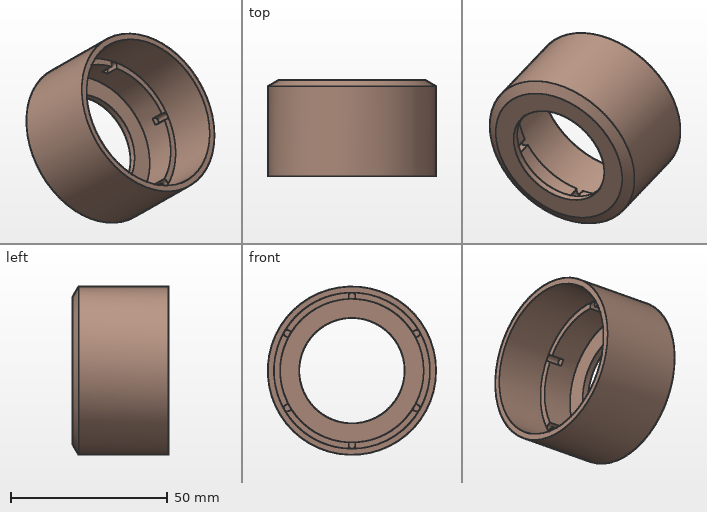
import cadquery as cq
import math

outer_radius = 27.0
height = 30.9
mouth_radius = 25.0
mouth_depth = 17.7
pocket_radius = 23.0
floor_thickness = 2.25
hole_radius = 16.85

bevel_height = 2.0
bevel_angle = 30
bevel_width = bevel_height / math.tan(math.radians(bevel_angle))

notch_count = 6
notch_width = 2.15
notch_depth = 4.8
notch_radius = notch_width / 2


def make_body():
    """Revolve the wall section (radius, Y) about the Y axis."""
    floor_y = height - floor_thickness
    section = (
        cq.Workplane("XY")
        .moveTo(mouth_radius, 0)
        .lineTo(outer_radius, 0)
        .lineTo(outer_radius, height - bevel_height)
        .lineTo(outer_radius - bevel_width, height)
        .lineTo(hole_radius, height)
        .lineTo(hole_radius, floor_y)
        .lineTo(pocket_radius, floor_y)
        .lineTo(pocket_radius, mouth_depth)
        .lineTo(mouth_radius, mouth_depth)
        .close()
    )
    return section.revolve(360, (0, 0, 0), (0, 1, 0))


def make_notch(angle):
    """Cutter with a rounded outer end touching the mouth radius."""
    inner_end = pocket_radius - notch_radius
    arc_start = mouth_radius - notch_radius
    cutter = (
        cq.Workplane("XZ", origin=(0, mouth_depth, 0))
        .moveTo(-notch_radius, inner_end)
        .lineTo(-notch_radius, arc_start)
        .threePointArc((0, mouth_radius), (notch_radius, arc_start))
        .lineTo(notch_radius, inner_end)
        .close()
        .extrude(-notch_depth)
    )
    return cutter.rotate((0, 0, 0), (0, 1, 0), angle)


result = make_body()
for index in range(notch_count):
    result = result.cut(make_notch(index * 360 / notch_count))